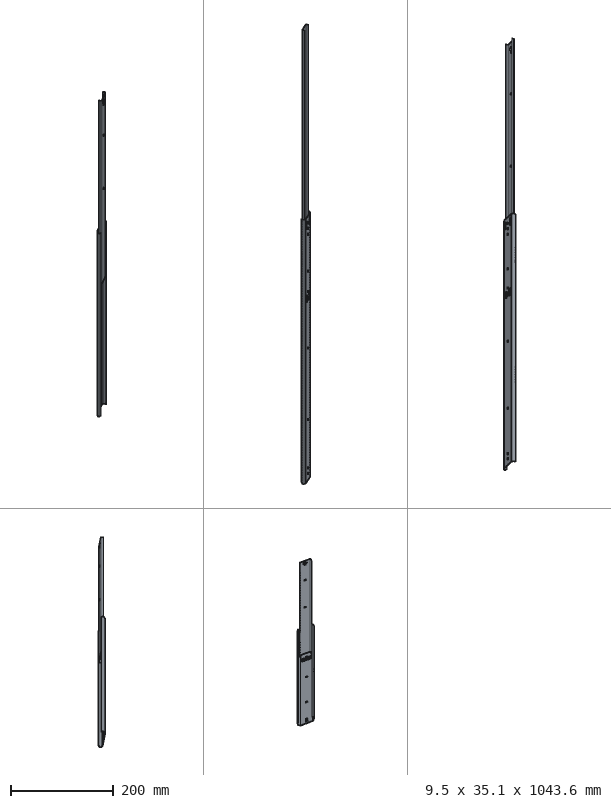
import cadquery as cq
import math


slide_depth = 9.5
slide_width = 35.08
total_length = 1043.6
rail_length = 609.6
sheet = 1.5

web_x = -slide_depth / 2
back_x = slide_depth / 2
outer_half = slide_width / 2
inner_bottom = total_length - rail_length

web_half = 12.8
slope = math.radians(33)
lip = math.radians(43)
crest_x = 0.5
crest_height = outer_half - web_half
race_radius = (
    (crest_x - web_x) * math.cos(slope) - crest_height * math.sin(slope)
) / (1 - math.sin(slope))
race_y = outer_half - race_radius
lip_length = (back_x - crest_x - race_radius * math.sin(lip)) / math.cos(lip)
lip_notch_x = 1.5
lip_notch_height = 2.5
lip_notch_slant = 1.0

inner_half = 12.0
inner_bend = 2.4
inner_edge_x = -1.5

hole_diameter = 4.6
end_hole_distances = [15.6, 28.3]
outer_hole_heights = [139.9, 304.9, 435.4, 482.5, 567.4]
inner_hole_drops = [127.3, 304.9]
keyhole_drop = 16.1
keyhole_diameter = 9.0
keyhole_slot_width = 4.0
keyhole_slot_offset = 9.0

bumper_width = 4.5
bumper_height = 16.5
bumper_y = 9.25
bumper_top = 602.0
bumper_groove = 3.0
bumper_groove_depth = 0.6
bumper_groove_drops = [5.3, 13.3]

stop_top = 429.5
stop_half = 11.8
stop_thickness = 2.25
prong_inner_y = 4.0
prong_length = 6.5
prong_tip = 3.5
recess_depth = 0.6
crossbar_height = 3.5
tongue_half = 9.0
tongue_height = 3.5
foot_inner_y = 3.5
foot_width = 2.5
foot_height = 2.5


def block(x_range, y_range, z_range):
    """Box that fills the given ranges."""
    sizes = [high - low for low, high in (x_range, y_range, z_range)]
    corner = (x_range[0], y_range[0], z_range[0])
    return cq.Workplane("XY").box(*sizes, centered=False).translate(corner)


def mirrored_block(x_range, y_range, z_range):
    """The block and its mirror image across the middle plane Y = 0."""
    one_side = block(x_range, y_range, z_range)
    return one_side.union(one_side.mirror("XZ"))


def bar_through(x, z, diameter):
    """Round bar along X, on the middle plane, long enough to pierce a web at x."""
    return cq.Workplane("YZ", origin=(x, 0, z)).circle(diameter / 2).extrude(2 * sheet, both=True)


def race_point(radius, angle, along_lip=0):
    """Point of the ball race; the angle counts from its crest, positive towards the lip."""
    x = crest_x + radius * math.sin(angle) + along_lip * math.cos(angle)
    y = race_y + radius * math.cos(angle) - along_lip * math.sin(angle)
    return (x, y)


def make_outer_rail():
    shoulder = slope - math.pi / 2
    inner_radius = race_radius - sheet
    inner_web_half = web_half - sheet * math.tan(slope / 2)
    half = (
        cq.Workplane("XY")
        .moveTo(web_x, 0)
        .lineTo(web_x, web_half)
        .lineTo(*race_point(race_radius, shoulder))
        .threePointArc(race_point(race_radius, 0), race_point(race_radius, lip))
        .lineTo(*race_point(race_radius, lip, lip_length))
        .lineTo(*race_point(inner_radius, lip, lip_length))
        .lineTo(*race_point(inner_radius, lip))
        .threePointArc(race_point(inner_radius, 0), race_point(inner_radius, shoulder))
        .lineTo(web_x + sheet, inner_web_half)
        .lineTo(web_x + sheet, 0)
        .close()
        .extrude(rail_length)
    )
    rail = half.union(half.mirror("XZ"))

    lip_notch = (
        cq.Workplane("XZ")
        .moveTo(lip_notch_x, 0)
        .lineTo(back_x, 0)
        .lineTo(back_x, lip_notch_height)
        .lineTo(lip_notch_x + lip_notch_slant, lip_notch_height)
        .close()
        .extrude(slide_width, both=True)
    )
    rail = rail.cut(lip_notch)

    end_holes = [z for d in end_hole_distances for z in (d, rail_length - d)]
    for z in end_holes + outer_hole_heights:
        rail = rail.cut(bar_through(web_x, z, hole_diameter))
    return rail


def make_inner_rail():
    height = (inner_bottom, total_length)
    channel = block((inner_edge_x, back_x), (-inner_half, inner_half), height)
    channel = channel.edges("|Z and >X").fillet(inner_bend)
    hollow_half = inner_half - sheet
    hollow = block((inner_edge_x, back_x - sheet), (-hollow_half, hollow_half), height)
    rail = channel.cut(hollow.edges("|Z and >X").fillet(inner_bend - sheet))

    for drop in inner_hole_drops:
        rail = rail.cut(bar_through(back_x, total_length - drop, hole_diameter))

    keyhole_z = total_length - keyhole_drop
    slot_end_z = keyhole_z - keyhole_slot_offset
    slot_half = keyhole_slot_width / 2
    rail = rail.cut(bar_through(back_x, keyhole_z, keyhole_diameter))
    rail = rail.cut(bar_through(back_x, slot_end_z, keyhole_slot_width))
    slot = block((back_x - sheet, back_x), (-slot_half, slot_half), (slot_end_z, keyhole_z))
    return rail.cut(slot)


def bumper_blank(side):
    """Plain bumper, which is also the shape of its slot in the web."""
    middle_y = side * bumper_y
    y_range = (middle_y - bumper_width / 2, middle_y + bumper_width / 2)
    return block((web_x, web_x + sheet), y_range, (bumper_top - bumper_height, bumper_top))


def make_bumper(side):
    bumper = bumper_blank(side)
    for drop in bumper_groove_drops:
        z = bumper_top - drop
        groove = block(
            (web_x, web_x + bumper_groove_depth),
            (-outer_half, outer_half),
            (z - bumper_groove / 2, z + bumper_groove / 2),
        )
        bumper = bumper.cut(groove)
    return bumper


def stop_blank():
    """Stop without the recesses on its face, which is also its opening in the web."""
    x_range = (web_x, web_x + stop_thickness)
    crossbar_z = stop_top - prong_length - crossbar_height
    tongue_z = crossbar_z - tongue_height
    body = block(x_range, (-stop_half, stop_half), (crossbar_z, stop_top))
    notch = block(x_range, (-prong_inner_y, prong_inner_y), (stop_top - prong_length, stop_top))
    tongue = block(x_range, (-tongue_half, tongue_half), (tongue_z, crossbar_z))
    foot_y = (foot_inner_y, foot_inner_y + foot_width)
    feet = mirrored_block(x_range, foot_y, (tongue_z - foot_height, tongue_z))
    return body.cut(notch).union(tongue).union(feet)


def make_stop():
    stop = stop_blank()
    crossbar_top = stop_top - prong_length
    prong_tips = (stop_top - prong_tip, stop_top)
    crossbar = (crossbar_top - crossbar_height, crossbar_top)
    for z_range in (prong_tips, crossbar):
        stop = stop.cut(block((web_x, web_x + recess_depth), (-stop_half, stop_half), z_range))
    return stop


sides = (-1, 1)
outer_rail = make_outer_rail().cut(stop_blank())
for side in sides:
    outer_rail = outer_rail.cut(bumper_blank(side))
inner_rail = make_inner_rail()
bumpers = [make_bumper(side) for side in sides]
stop = make_stop()

result = cq.Compound.makeCompound(
    [outer_rail.val(), inner_rail.val(), stop.val(), *[bumper.val() for bumper in bumpers]]
)